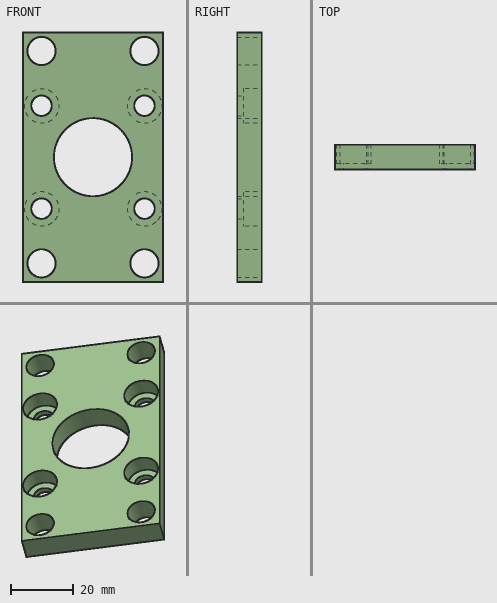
import cadquery as cq

width = 45.0
thickness = 8.0
height = 80.0

bore_diameter = 25.0
small_hole_diameter = 6.5
counterbore_diameter = 11.0
counterbore_floor = 2.0
corner_hole_diameter = 9.0
hole_spacing = 33.0
corner_hole_spacing_z = 68.0


def four_cylinders(spacing_z, diameter, start_y):
    """Four cylinders on a centred rectangle, from start_y to the back face."""
    back_y = thickness / 2
    return (
        cq.Workplane("XZ", origin=(0, start_y, 0))
        .rect(hole_spacing, spacing_z, forConstruction=True)
        .vertices()
        .circle(diameter / 2)
        .extrude(start_y - back_y)
    )


front_y = -thickness / 2

plate = cq.Workplane("XY").box(width, thickness, height)
plate = plate.faces("<Y").workplane().hole(bore_diameter)

plate = plate.cut(four_cylinders(corner_hole_spacing_z, corner_hole_diameter, front_y))

plate = plate.cut(four_cylinders(hole_spacing, small_hole_diameter, front_y))
plate = plate.cut(four_cylinders(hole_spacing, counterbore_diameter, front_y + counterbore_floor))

result = plate